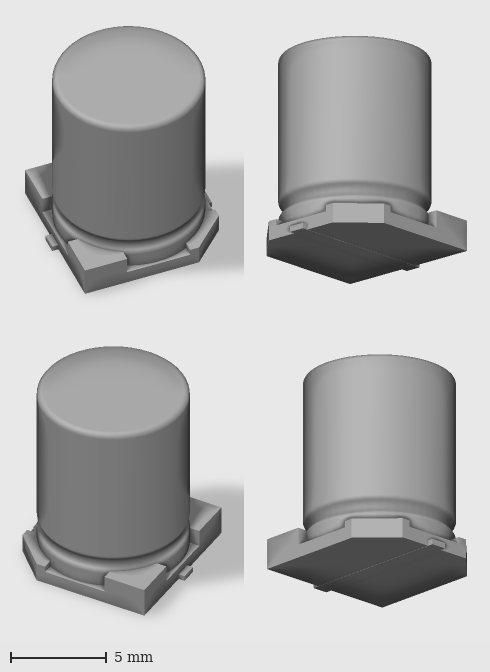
import cadquery as cq
import math

BASE_SIDE = 8.3
BASE_BOTTOM_Z = 0.01
FLOOR_Z = 0.73
TALL_POST_Z = 1.67
LOW_POST_Z = 1.07
CORNER_CHAMFER = 1.88
NOTCH_WIDTH = 3.54

LEAD_LENGTH = 9.0
LEAD_WIDTH = 0.91
LEAD_THICKNESS = 0.3

CAN_RADIUS = 8.0 / 2
CAN_TOP_Z = 10.51
TOP_FILLET = 0.3
GROOVE_Z = 2.07
GROOVE_DEPTH = 0.25
GROOVE_RADIUS = 0.42
LIP_RADIUS = 0.3


def centred_box(size_x, size_y, bottom_z, top_z):
    """Box centred on the Z axis between two heights."""
    return (
        cq.Workplane("XY")
        .workplane(offset=bottom_z)
        .rect(size_x, size_y)
        .extrude(top_z - bottom_z)
    )


def seat_cutter():
    """Room for the can: a round seat that opens through a notch in each side."""
    depth = TALL_POST_Z - FLOOR_Z
    seat = cq.Workplane("XY").workplane(offset=FLOOR_Z).circle(CAN_RADIUS).extrude(depth)
    notch_x = centred_box(BASE_SIDE, NOTCH_WIDTH, FLOOR_Z, TALL_POST_Z)
    notch_y = centred_box(NOTCH_WIDTH, BASE_SIDE, FLOOR_Z, TALL_POST_Z)
    return seat.union(notch_x).union(notch_y)


def make_lead():
    """Straight strip along Y, longer than the base so that both ends stick out."""
    return centred_box(LEAD_WIDTH, LEAD_LENGTH, 0, LEAD_THICKNESS)


def make_base():
    """Plate with tall posts at -Y, low chamfered posts at +Y and a channel for the lead."""
    block = centred_box(BASE_SIDE, BASE_SIDE, BASE_BOTTOM_Z, TALL_POST_Z)
    block = block.edges("|Z and >Y").chamfer(CORNER_CHAMFER)
    above_low_posts = centred_box(BASE_SIDE, BASE_SIDE, LOW_POST_Z, TALL_POST_Z)
    above_low_posts = above_low_posts.translate((0, BASE_SIDE / 2, 0))
    return block.cut(above_low_posts).cut(seat_cutter()).cut(make_lead())


def make_can():
    """Revolved can with a rounded top rim and a crimp groove near the foot."""
    turn = math.acos(1 - GROOVE_DEPTH / (GROOVE_RADIUS + LIP_RADIUS))
    throat_radius = CAN_RADIUS - GROOVE_DEPTH
    hollow_rise = GROOVE_RADIUS * math.sin(turn)
    groove_rise = hollow_rise + LIP_RADIUS * math.sin(turn)
    joint_radius = throat_radius + GROOVE_RADIUS * (1 - math.cos(turn))

    profile = (
        cq.Workplane("XZ")
        .moveTo(0, FLOOR_Z)
        .lineTo(CAN_RADIUS, FLOOR_Z)
        .lineTo(CAN_RADIUS, GROOVE_Z - groove_rise)
        .tangentArcPoint((joint_radius, GROOVE_Z - hollow_rise), relative=False)
        .threePointArc((throat_radius, GROOVE_Z), (joint_radius, GROOVE_Z + hollow_rise))
        .tangentArcPoint((CAN_RADIUS, GROOVE_Z + groove_rise), relative=False)
        .lineTo(CAN_RADIUS, CAN_TOP_Z - TOP_FILLET)
        .tangentArcPoint((CAN_RADIUS - TOP_FILLET, CAN_TOP_Z), relative=False)
        .lineTo(0, CAN_TOP_Z)
        .close()
    )
    return profile.revolve(360, (0, 0, 0), (0, 1, 0))


base = make_base()
can = make_can()
lead = make_lead()

result = cq.Compound.makeCompound([base.val(), can.val(), lead.val()])